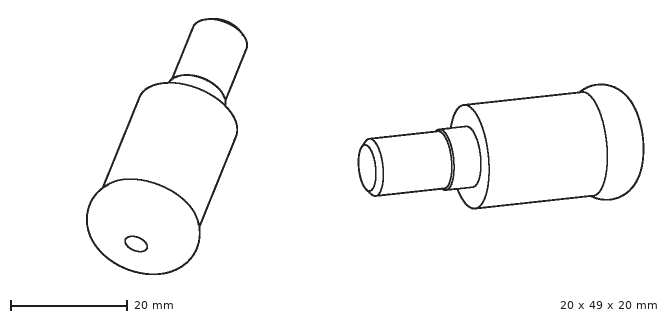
import cadquery as cq
import math

total_length = 49.0
head_length = 8.0
body_length = 22.0
neck_length = 5.0
head_round_radius = 5.0
body_diameter = 18.0
neck_diameter = 10.55
stem_diameter = 9.95
dimple_floor_radius = 2.0
stem_chamfer = 1.0

body_radius = body_diameter / 2
neck_radius = neck_diameter / 2
stem_radius = stem_diameter / 2
neck_chamfer = neck_radius - stem_radius

body_end = head_length + body_length
neck_end = body_end + neck_length
dimple_depth = head_round_radius - math.sqrt(
    head_round_radius**2 - (head_round_radius - dimple_floor_radius)**2
)

arc_diagonal = head_round_radius * math.sqrt(0.5)
arc_middle = (head_round_radius + arc_diagonal, head_round_radius - arc_diagonal)

half_section = (
    cq.Workplane("XY")
    .moveTo(0, dimple_depth)
    .lineTo(dimple_floor_radius, dimple_depth)
    .threePointArc(arc_middle, (body_radius, head_length))
    .lineTo(body_radius, body_end)
    .lineTo(neck_radius, body_end)
    .lineTo(neck_radius, neck_end)
    .lineTo(stem_radius, neck_end + neck_chamfer)
    .lineTo(stem_radius, total_length - stem_chamfer)
    .lineTo(stem_radius - stem_chamfer, total_length)
    .lineTo(0, total_length)
    .close()
)

result = half_section.revolve(360, (0, 0, 0), (0, 1, 0))